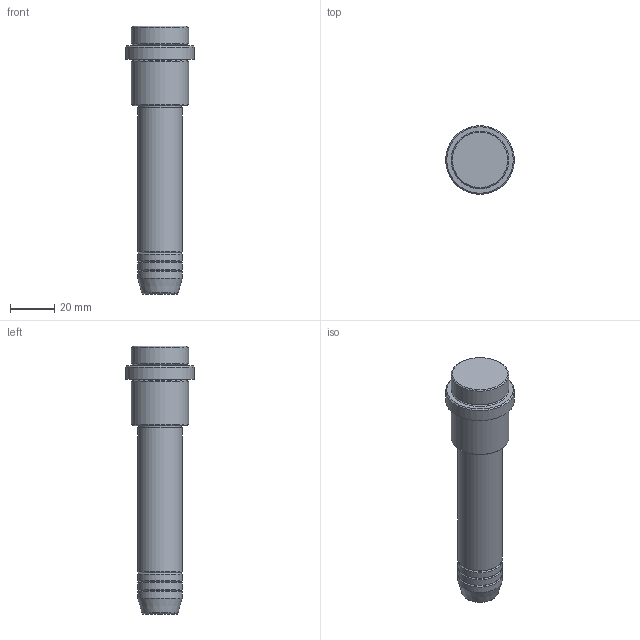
import cadquery as cq
import math

total_length = 121.0
head_length = 9.0
collar_thickness = 6.0
body_length = 21.0
collar_top = total_length - head_length
collar_bottom = collar_top - collar_thickness
body_bottom = collar_bottom - body_length

body_radius = 13.0
collar_radius = 15.5
shaft_radius = 10.0

edge_chamfer = 0.5

neck_depth = 0.5
neck_height = 1.0

taper_height = 7.0
taper_angle = 15.0

groove_width = 1.0
groove_depth = groove_width / 2

shaft_groove_count = 3
shaft_groove_pitch = 4.0
first_shaft_groove_height = 10.5


def revolve_outline(points):
    """Revolve a closed outline of (radius, height) points about the Z axis."""
    return cq.Workplane("XZ").polyline(points).close().revolve(360, (0, 0), (0, 1))


def make_shaft():
    """Shaft with a chamfered, tapered tip and an undercut upper end."""
    taper_rise = taper_height - edge_chamfer
    tip_radius = shaft_radius - taper_rise * math.tan(math.radians(taper_angle))
    return revolve_outline([
        (0, 0),
        (tip_radius - edge_chamfer, 0),
        (tip_radius, edge_chamfer),
        (shaft_radius, taper_height),
        (shaft_radius, body_bottom - neck_height),
        (shaft_radius - neck_depth, body_bottom - neck_height),
        (shaft_radius - neck_depth, body_bottom),
        (0, body_bottom),
    ])


def make_body_and_head():
    """Cylinder running through the collar, chamfered at both ends."""
    cylinder = cq.Workplane("XY").workplane(offset=body_bottom).circle(body_radius)
    cylinder = cylinder.extrude(total_length - body_bottom)
    return cylinder.faces("<Z or >Z").chamfer(edge_chamfer)


def make_collar():
    """Collar ring, chamfered on its upper edge only."""
    collar = cq.Workplane("XY").workplane(offset=collar_bottom).circle(collar_radius)
    collar = collar.extrude(collar_thickness)
    return collar.faces(">Z").edges().chamfer(edge_chamfer)


def cut_v_groove(pin, radius, height):
    """Cut a V-groove into the surface of the given radius, centered on the given height."""
    cutter = revolve_outline([
        (radius, height - groove_width / 2),
        (radius - groove_depth, height),
        (radius, height + groove_width / 2),
    ])
    return pin.cut(cutter)


body_and_head = make_body_and_head()
for groove_height in (collar_bottom - groove_width / 2, collar_top + groove_width / 2):
    body_and_head = cut_v_groove(body_and_head, body_radius, groove_height)

result = make_shaft().union(body_and_head).union(make_collar())
for index in range(shaft_groove_count):
    result = cut_v_groove(result, shaft_radius, first_shaft_groove_height + index * shaft_groove_pitch)